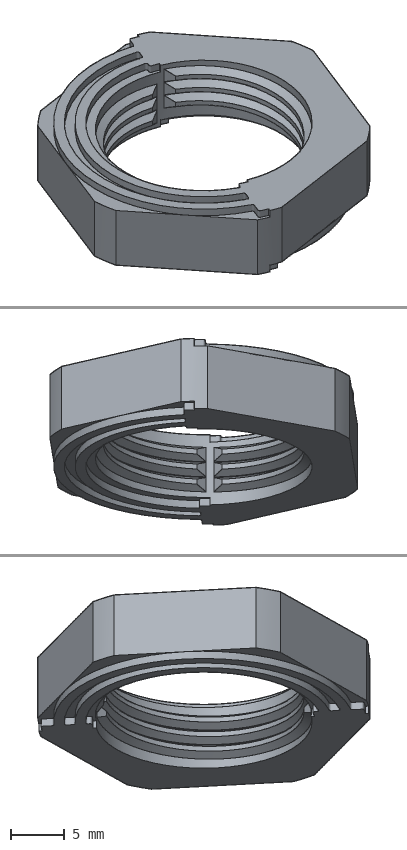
import cadquery as cq
import math

hexagon_sides = 6
across_flats = 28.0
corner_radius = 15.5
height = 7.0

step_height = 0.75
split_angle = -30.0

rib_radii = [(11.0, 12.0), (13.0, 14.0)]
tongue_radii = (10.4, 15.2)
tongue_reach = 1.0
corner_fillet = 0.2

bore_radius = 10.1
crest_radius = 9.35
pitch = 1.5
thread_turns = 3
crest_width = 0.5
flank_angle = 32.0
gap_apex_radius = 10.45
gap_depth = 4.0

outer_reach = 20.0
tooth_overlap = 0.03

core_height = height - 2 * step_height


def ring(inner_radius, outer_radius, depth):
    return cq.Workplane("XY").circle(outer_radius).circle(inner_radius).extrude(depth)


def half_space(lowest_y, depth):
    """Block covering everything above lowest_y, before turning to the split direction."""
    return (
        cq.Workplane("XY")
        .rect(2 * outer_reach, outer_reach)
        .extrude(depth)
        .translate((0, lowest_y + outer_reach / 2, 0))
    )


def make_prism(base_z, depth):
    """Hexagonal slab with trimmed corners, two of its flats facing -X and +X."""
    half_corner_angle = 180 / hexagon_sides
    hexagon_diameter = across_flats / math.cos(math.radians(half_corner_angle))
    hexagon = (
        cq.Workplane("XY")
        .polygon(hexagon_sides, hexagon_diameter)
        .extrude(depth)
        .rotate((0, 0, 0), (0, 0, 1), half_corner_angle)
    )
    round_blank = cq.Workplane("XY").circle(corner_radius).extrude(depth)
    return hexagon.intersect(round_blank).translate((0, 0, base_z))


def make_step_layer():
    """Raised half face with its tongue and ribs, split along X and resting on Z = 0."""
    layer = half_space(0, step_height)
    tongue = ring(*tongue_radii, step_height).intersect(half_space(-tongue_reach, step_height))
    layer = layer.union(tongue)
    for inner_radius, outer_radius in rib_radii:
        layer = layer.union(ring(inner_radius, outer_radius, step_height))
    tongue_end = cq.selectors.BoxSelector(
        (-corner_radius, -2 * tongue_reach, -step_height),
        (corner_radius, -tongue_reach / 2, 2 * step_height),
    )
    return layer.edges("|Z").edges(tongue_end).fillet(corner_fillet)


def make_thread():
    """Right-hand helical tooth, centred on mid-height and starting on the -X side."""
    root_radius = bore_radius + tooth_overlap
    half_crest = crest_width / 2
    half_root = half_crest + (root_radius - crest_radius) * math.tan(math.radians(flank_angle))
    section = [
        (crest_radius, -half_crest),
        (crest_radius, half_crest),
        (root_radius, half_root),
        (root_radius, -half_root),
    ]
    thread_height = pitch * thread_turns
    helix = cq.Wire.makeHelix(pitch, thread_height, bore_radius)
    thread = cq.Workplane("XZ").polyline(section).close().sweep(cq.Workplane(helix), isFrenet=True)
    return (
        thread.rotate((0, 0, 0), (0, 0, 1), 180)
        .translate((0, 0, (height - thread_height) / 2))
        .cut(make_thread_gaps())
    )


def make_thread_gaps():
    """Square posts, corners on the X axis, that interrupt the tooth at the split."""
    half_width = gap_depth / 2
    return (
        cq.Workplane("XY")
        .pushPoints([(side * (gap_apex_radius - half_width), 0) for side in (-1, 1)])
        .polygon(4, gap_depth)
        .extrude(height)
    )


def flip_over(shape):
    """Half turn about the X axis at mid-height, which swaps the two halves."""
    return shape.rotate((0, 0, height / 2), (1, 0, height / 2), 180)


def turn_to_split(shape):
    return shape.rotate((0, 0, 0), (0, 0, 1), split_angle)


step_layer = make_step_layer().translate((0, 0, height - step_height))

result = make_prism(step_height, core_height)
for layer, base_z in ((step_layer, height - step_height), (flip_over(step_layer), 0)):
    result = result.union(turn_to_split(layer).intersect(make_prism(base_z, step_height)))
bore = cq.Workplane("XY").circle(bore_radius).extrude(height)
result = result.cut(bore)
result = result.union(turn_to_split(make_thread()))